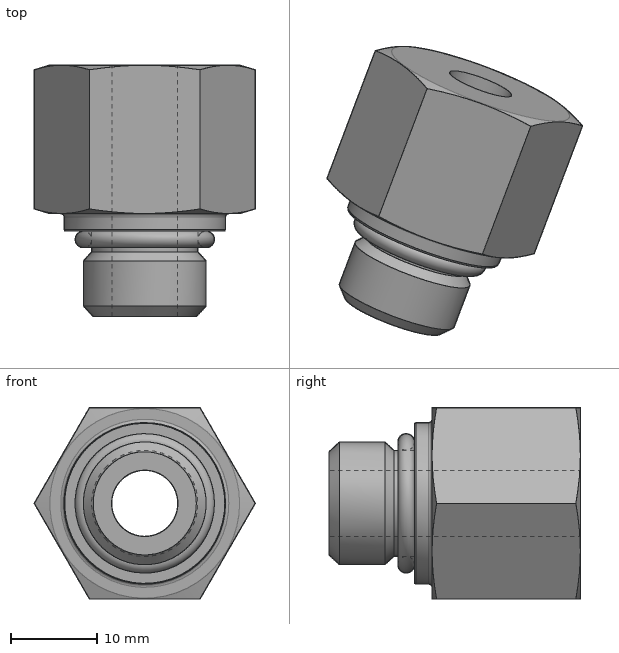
import cadquery as cq
import math

total_length = 29.2
nose_chamfer_end = 1.23
taper_start = 6.48
groove_start = 7.55
collar_face = 9.93
hex_face = 11.95

bore_radius = 3.83
nose_radius = 6.0
stub_radius = 7.13
groove_radius = 6.15
collar_radius = 9.38

hex_across_flats = 22.23
hex_corner_radius = hex_across_flats / math.sqrt(3)
chamfer_circle_radius = 11.0
corner_chamfer_length = 0.55

collar_fillet = 0.38
collar_edge_length = 0.2
collar_edge_drop = 0.1

ring_section_radius = 0.95
ring_center_radius = groove_radius + ring_section_radius
ring_center_y = collar_face - ring_section_radius


def revolve_about_y(profile):
    return profile.close().revolve(360, (0, 0, 0), (0, 1, 0))


def make_hexagon():
    """Hexagonal prism along Y with both ends trimmed by a cone."""
    prism = (
        cq.Workplane("XZ", origin=(0, total_length, 0))
        .polygon(6, 2 * hex_corner_radius)
        .extrude(total_length - hex_face)
    )
    corner_envelope = revolve_about_y(
        cq.Workplane("XY")
        .moveTo(0, hex_face)
        .lineTo(chamfer_circle_radius, hex_face)
        .lineTo(hex_corner_radius, hex_face + corner_chamfer_length)
        .lineTo(hex_corner_radius, total_length - corner_chamfer_length)
        .lineTo(chamfer_circle_radius, total_length)
        .lineTo(0, total_length)
    )
    return prism.intersect(corner_envelope)


def make_stub():
    """Turned end: chamfered nose, O-ring groove, and collar with a root fillet."""
    fillet_mid = collar_fillet * (1 - math.sqrt(0.5))
    return revolve_about_y(
        cq.Workplane("XY")
        .lineTo(nose_radius, 0)
        .lineTo(stub_radius, nose_chamfer_end)
        .lineTo(stub_radius, taper_start)
        .lineTo(groove_radius, groove_start)
        .lineTo(groove_radius, collar_face)
        .lineTo(collar_radius - collar_edge_drop, collar_face)
        .lineTo(collar_radius, collar_face + collar_edge_length)
        .lineTo(collar_radius, hex_face - collar_fillet)
        .threePointArc(
            (collar_radius + fillet_mid, hex_face - fillet_mid),
            (collar_radius + collar_fillet, hex_face),
        )
        .lineTo(0, hex_face)
    )


def make_fitting():
    bore = cq.Workplane("XZ", origin=(0, total_length, 0)).circle(bore_radius).extrude(total_length)
    return make_hexagon().union(make_stub()).cut(bore)


def make_o_ring():
    return (
        cq.Workplane("XY")
        .center(ring_center_radius, ring_center_y)
        .circle(ring_section_radius)
        .revolve(360, (-ring_center_radius, 0, 0), (-ring_center_radius, 1, 0))
    )


fitting = make_fitting()
o_ring = make_o_ring()
result = cq.Compound.makeCompound([fitting.val(), o_ring.val()])